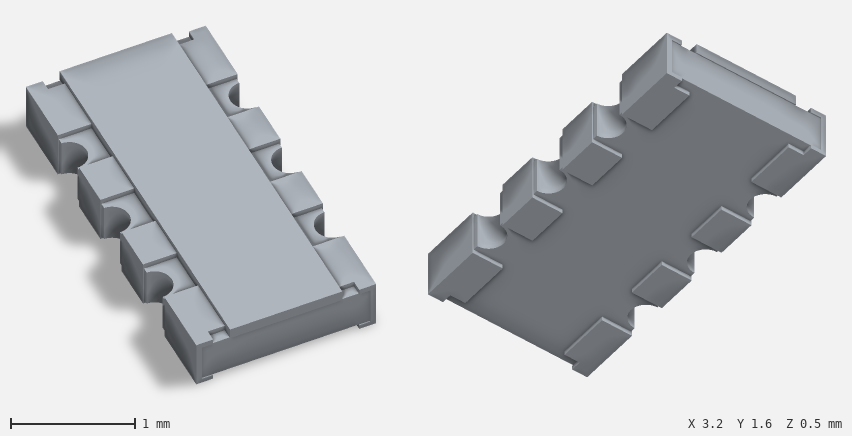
import cadquery as cq


length = 3.2
width = 1.6
height = 0.5

pitch = 0.8
terminal_width = pitch / 2
wall = 0.05
foot_thickness = 0.04
cover_width = 1.0
terminal_depth = (width - cover_width) / 2

cover_thickness = 0.1
body_top = height - cover_thickness
terminal_top = body_top + wall

inset = 0.01
body_length = length - 2 * inset
body_width = width - 2 * inset
body_height = body_top - foot_thickness

notch_radius = 0.15
notch_positions = [-pitch, 0.0, pitch]

relief_length = 0.1
relief_depth = terminal_depth / 2

gap_half = (pitch - terminal_width) / 2
terminal_starts = [-length / 2] + [x + gap_half for x in notch_positions]
terminal_ends = [x - gap_half for x in notch_positions] + [length / 2]


def make_body():
    body = cq.Workplane("XY").workplane(offset=foot_thickness).box(
        body_length, body_width, body_height, centered=(True, True, False)
    )
    centers = [(x, side * body_width / 2) for x in notch_positions for side in (-1, 1)]
    notches = cq.Workplane("XY").pushPoints(centers).circle(notch_radius).extrude(height)
    return body.cut(notches)


def make_cover():
    return cq.Workplane("XY").workplane(offset=body_top).box(
        length, cover_width, cover_thickness, centered=(True, True, False)
    )


def make_front_terminal(x_start, x_end):
    """C-section on the -Y edge, open toward the middle of the part."""
    outer = -width / 2
    inner = outer + terminal_depth
    return (
        cq.Workplane("YZ", origin=(x_start, 0, 0))
        .moveTo(inner, 0)
        .lineTo(outer, 0)
        .lineTo(outer, terminal_top)
        .lineTo(inner, terminal_top)
        .lineTo(inner, body_top)
        .lineTo(outer + wall, body_top)
        .lineTo(outer + wall, foot_thickness)
        .lineTo(inner, foot_thickness)
        .close()
        .extrude(x_end - x_start)
    )


def make_reliefs():
    """Blocks along both ends that remove the free corners of the end terminals."""
    relief_centers = [(side * (length - relief_length) / 2, 0) for side in (-1, 1)]
    return (
        cq.Workplane("XY")
        .pushPoints(relief_centers)
        .rect(relief_length, cover_width + 2 * relief_depth)
        .extrude(height)
    )


terminals = cq.Workplane("XY")
for x_start, x_end in zip(terminal_starts, terminal_ends):
    front_terminal = make_front_terminal(x_start, x_end)
    terminals = terminals.add(front_terminal).add(front_terminal.mirror("XZ"))
terminals = terminals.combine().cut(make_reliefs())

result = make_body().union(make_cover()).union(terminals)